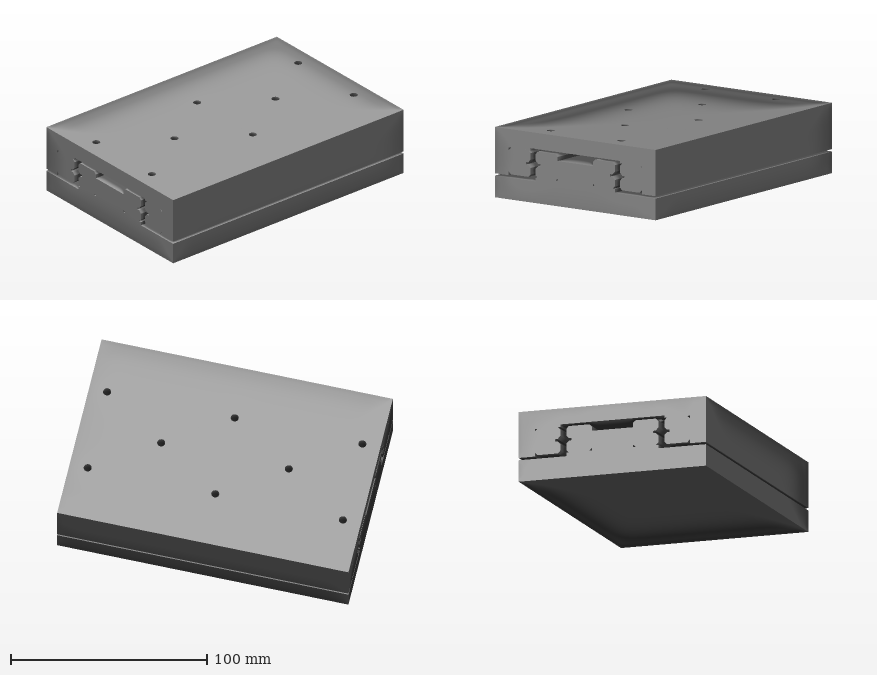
import cadquery as cq

WIDTH = 101.7
LENGTH = 152.4
HEIGHT = 36.5

RAIL_WIDTH = 13.9
RAIL_HEIGHT = 13.9
RAIL_CHAMFER = 1.4
RAIL_GAP = 3.2
PAIR_SPACING = 53.2
RAIL_BOTTOM = 13.1
RAIL_TOP = RAIL_BOTTOM + RAIL_HEIGHT
RAIL_MIDDLE = RAIL_BOTTOM + RAIL_HEIGHT / 2

VEE_DEPTH = 1.5
RELIEF_HALF_HEIGHT = 0.6
GROOVE_DEPTH = 2.9
VEE_HALF_HEIGHT = RELIEF_HALF_HEIGHT + VEE_DEPTH

INNER_FACE_X = PAIR_SPACING / 2 - RAIL_GAP / 2
INNER_BACK_X = INNER_FACE_X - RAIL_WIDTH
OUTER_FACE_X = PAIR_SPACING / 2 + RAIL_GAP / 2
OUTER_BACK_X = OUTER_FACE_X + RAIL_WIDTH

BASE_PLATE_TOP = 11.3
RIB_TOP = 23.5

SKIRT_BOTTOM = 12.5
CHANNEL_TOP = 28.2

HOLE_DIAMETER = 4.1
HOLE_X = 22.3
HOLE_PITCH_Y = 66.8


def extrude_profile(points):
    """Close an XZ outline and extrude it over the full length, centred on Y."""
    return cq.Workplane("XZ").polyline(points).close().extrude(LENGTH / 2, both=True)


def mirrored_outline(right_half):
    """Complete an outline that is symmetric about the centre plane."""
    left_half = [(-x, z) for x, z in reversed(right_half)]
    return right_half + left_half


def make_base():
    """Plate with a raised pedestal and a centre rib between the inner rails."""
    return extrude_profile(mirrored_outline([
        (WIDTH / 2, 0),
        (WIDTH / 2, BASE_PLATE_TOP),
        (INNER_FACE_X, BASE_PLATE_TOP),
        (INNER_FACE_X, RAIL_BOTTOM),
        (INNER_BACK_X, RAIL_BOTTOM),
        (INNER_BACK_X, RIB_TOP),
    ]))


def make_carriage():
    """Inverted channel that holds the outer rails, with through mounting holes."""
    body = extrude_profile(mirrored_outline([
        (WIDTH / 2, HEIGHT),
        (WIDTH / 2, SKIRT_BOTTOM),
        (OUTER_BACK_X, SKIRT_BOTTOM),
        (OUTER_BACK_X, RAIL_TOP),
        (OUTER_FACE_X, RAIL_TOP),
        (OUTER_FACE_X, CHANNEL_TOP),
    ]))
    side_columns = [(x, y) for x in (-HOLE_X, HOLE_X) for y in (-HOLE_PITCH_Y, 0, HOLE_PITCH_Y)]
    centre_column = [(0, -HOLE_PITCH_Y / 2), (0, HOLE_PITCH_Y / 2)]
    holes = (
        cq.Workplane("XY", origin=(0, 0, CHANNEL_TOP))
        .pushPoints(side_columns + centre_column)
        .circle(HOLE_DIAMETER / 2)
        .extrude(HEIGHT - CHANNEL_TOP)
    )
    return body.cut(holes)


def make_rail(face_x, facing):
    """Chamfered bar with a vee groove; facing is +1 or -1, the X direction of its grooved face."""
    bar = (
        cq.Workplane("XY")
        .box(RAIL_WIDTH, LENGTH, RAIL_HEIGHT)
        .edges("|Y")
        .chamfer(RAIL_CHAMFER)
        .translate((face_x - facing * RAIL_WIDTH / 2, 0, RAIL_MIDDLE))
    )
    vee_x = face_x - facing * VEE_DEPTH
    floor_x = face_x - facing * GROOVE_DEPTH
    groove = extrude_profile([
        (face_x, RAIL_MIDDLE + VEE_HALF_HEIGHT),
        (vee_x, RAIL_MIDDLE + RELIEF_HALF_HEIGHT),
        (floor_x, RAIL_MIDDLE + RELIEF_HALF_HEIGHT),
        (floor_x, RAIL_MIDDLE - RELIEF_HALF_HEIGHT),
        (vee_x, RAIL_MIDDLE - RELIEF_HALF_HEIGHT),
        (face_x, RAIL_MIDDLE - VEE_HALF_HEIGHT),
    ])
    return bar.cut(groove)


base = make_base()
carriage = make_carriage()

rails = []
for side in (-1, 1):
    rails.append(make_rail(side * INNER_FACE_X, side))
    rails.append(make_rail(side * OUTER_FACE_X, -side))

result = cq.Compound.makeCompound([base.val(), carriage.val(), *[rail.val() for rail in rails]])